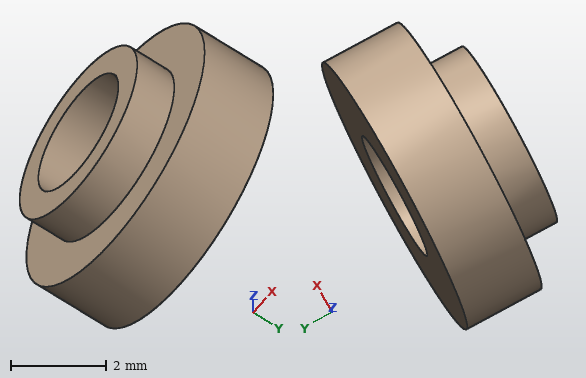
import cadquery as cq

flange_diameter = 6.35
boss_diameter = 4.19
bore_diameter = 2.85
total_length = 2.74
flange_thickness = 1.78
boss_length = total_length - flange_thickness


def cylinder_along_y(diameter, start_y, length):
    """Solid cylinder on the Y axis, running from start_y toward +Y."""
    return cq.Workplane("XZ", origin=(0, start_y, 0)).circle(diameter / 2).extrude(-length)


boss = cylinder_along_y(boss_diameter, 0, boss_length)
flange = cylinder_along_y(flange_diameter, boss_length, flange_thickness)
bore = cylinder_along_y(bore_diameter, 0, total_length)

result = boss.union(flange).cut(bore)